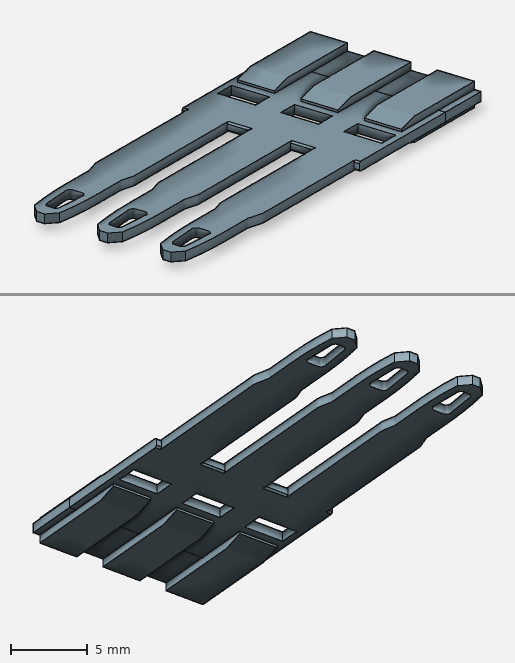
import cadquery as cq


total_length = 32.2
plate_width = 14.3
plate_thickness = 0.7
tab_height = 1.9

column_sides = (-1, 0, 1)
tab_pitch = 5.12
blade_pitch = 5.1

bar_length = 4.0
tab_width = 3.0
tab_bevel_y = 6.7
tab_end_y = 8.15
tab_bevel_drop = 0.42

window_width = 3.05
window_y = 8.8
window_length = 1.55
shoulder_y = 13.6
shoulder_bevel = 0.13

shank_width = 3.22
blade_width = 2.6
taper_slope = 0.28
taper_corner_radius = 1.0
blade_y = 25.0
nose_y = 27.7
point_y = 31.5
point_width = 2.03
tip_width = 0.65

eye_y = 28.08
eye_length = 3.03
eye_rear_width = 1.45
eye_front_width = 1.0
eye_corner_radius = 0.35


def plate_block(width, start_y, end_y):
    """Flat block of plate thickness, centred on X and Z, between two Y positions."""
    length = end_y - start_y
    return cq.Workplane("XY").box(width, length, plate_thickness).translate((0, -(start_y + end_y) / 2, 0))


def tab(x):
    """Tab with both faces bevelled at its front end, centred on Z."""
    half_height = tab_height / 2
    end_half_height = half_height - tab_bevel_drop
    return (
        cq.Workplane("YZ")
        .moveTo(0, -half_height)
        .lineTo(-tab_bevel_y, -half_height)
        .lineTo(-tab_end_y, -end_half_height)
        .lineTo(-tab_end_y, end_half_height)
        .lineTo(-tab_bevel_y, half_height)
        .lineTo(0, half_height)
        .close()
        .extrude(tab_width / 2, both=True)
        .translate((x, 0, 0))
    )


def slotted_tab(x):
    """Tab with its front part slotted, so that it holds the plate from above and below."""
    return tab(x).cut(plate_block(plate_width, bar_length, tab_end_y))


def make_tab_bar():
    """Rear bar joining the three tabs."""
    bar = plate_block(plate_width, 0, bar_length)
    for side in column_sides:
        bar = bar.union(slotted_tab(side * tab_pitch))
    return bar


def make_plate():
    """Front plate with a bevelled shoulder and three windows."""
    half_thickness = plate_thickness / 2
    bevel_start_y = shoulder_y - shoulder_bevel
    face_half_height = half_thickness - shoulder_bevel
    plate = (
        cq.Workplane("YZ")
        .moveTo(-bar_length, -half_thickness)
        .lineTo(-bevel_start_y, -half_thickness)
        .lineTo(-shoulder_y, -face_half_height)
        .lineTo(-shoulder_y, face_half_height)
        .lineTo(-bevel_start_y, half_thickness)
        .lineTo(-bar_length, half_thickness)
        .close()
        .extrude(plate_width / 2, both=True)
    )
    window = plate_block(window_width, window_y, window_y + window_length)
    for side in column_sides:
        plate = plate.cut(window.translate((side * blade_pitch, 0, 0)))
    return plate


def make_eye(x):
    """Cutter for the tapered eye with rounded corners."""
    rear = eye_rear_width / 2
    front = eye_front_width / 2
    return (
        cq.Workplane("XY")
        .polyline([
            (-rear, -eye_y),
            (rear, -eye_y),
            (front, -eye_y - eye_length),
            (-front, -eye_y - eye_length),
        ])
        .close()
        .extrude(plate_thickness / 2, both=True)
        .edges("|Z")
        .fillet(eye_corner_radius)
        .translate((x, 0, 0))
    )


def make_blade(x):
    """Narrow end of a lead: straight flanks, arcs tangent to them, then the pointed tip."""
    half_width = blade_width / 2
    return (
        cq.Workplane("XY")
        .moveTo(0, -blade_y)
        .lineTo(half_width, -blade_y)
        .lineTo(half_width, -nose_y)
        .tangentArcPoint((point_width / 2, -point_y), relative=False)
        .lineTo(tip_width / 2, -total_length)
        .lineTo(0, -total_length)
        .mirrorY()
        .extrude(plate_thickness / 2, both=True)
        .translate((x, 0, 0))
    )


def make_shank(side):
    """Wide part of a lead, its edges tapering to the blade from rounded corners."""
    left = side * tab_pitch - shank_width / 2
    right = side * tab_pitch + shank_width / 2
    blade_left = side * blade_pitch - blade_width / 2
    blade_right = side * blade_pitch + blade_width / 2
    left_taper_y = blade_y - (blade_left - left) / taper_slope
    right_taper_y = blade_y - (right - blade_right) / taper_slope
    root_y = shoulder_y - shoulder_bevel
    shank = (
        cq.Workplane("XY")
        .polyline([
            (left, -root_y),
            (left, -left_taper_y),
            (blade_left, -blade_y),
            (blade_right, -blade_y),
            (right, -right_taper_y),
            (right, -root_y),
        ])
        .close()
        .extrude(plate_thickness / 2, both=True)
    )
    for corner in ((left, -left_taper_y, 0), (right, -right_taper_y, 0)):
        corner_edge = cq.selectors.NearestToPointSelector(corner)
        shank = shank.edges("|Z").edges(corner_edge).fillet(taper_corner_radius)
    return shank


def make_lead_frame():
    """Plate and its three leads as one solid."""
    frame = make_plate()
    for side in column_sides:
        blade_x = side * blade_pitch
        frame = frame.union(make_shank(side)).union(make_blade(blade_x)).cut(make_eye(blade_x))
    return frame


tab_bar = make_tab_bar()
lead_frame = make_lead_frame()

result = cq.Compound.makeCompound([tab_bar.val(), lead_frame.val()])